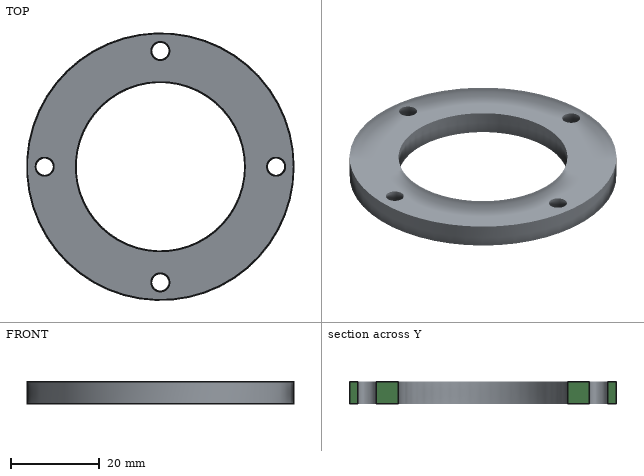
import cadquery as cq

outer_diameter = 60.0
bore_diameter = 38.0
thickness = 5.0

hole_count = 4
hole_diameter = 4.0
hole_circle_diameter = 52.0


def make_ring():
    return (
        cq.Workplane("XY")
        .circle(outer_diameter / 2)
        .circle(bore_diameter / 2)
        .extrude(thickness)
    )


def make_hole_cutters():
    return (
        cq.Workplane("XY")
        .polarArray(hole_circle_diameter / 2, 0, 360, hole_count)
        .circle(hole_diameter / 2)
        .extrude(thickness)
    )


result = make_ring().cut(make_hole_cutters())